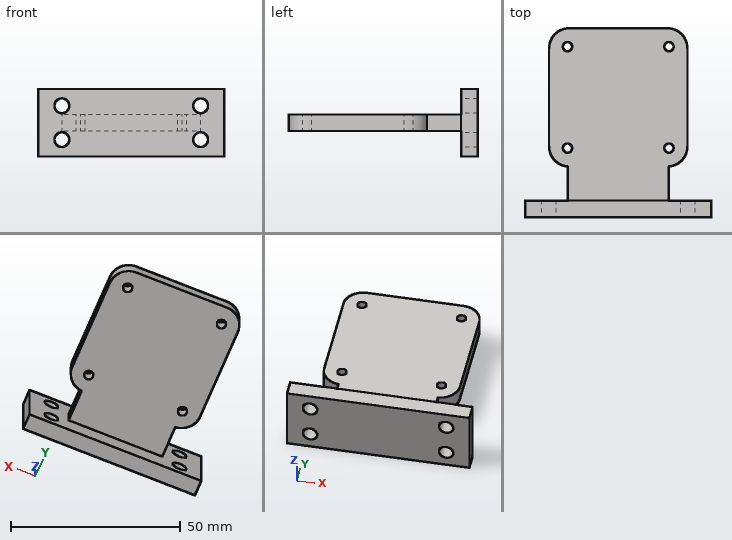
import cadquery as cq

total_depth = 55.95
thickness = 5.0
wall_width = 55.0
wall_height = 20.0
wall_hole_diameter = 4.3
wall_hole_spacing_x = 41.0
wall_hole_spacing_z = 10.0
platform_side = 40.95
corner_radius = 6.0
platform_hole_diameter = 2.7
platform_hole_spacing = 30.0
neck_width = platform_hole_spacing

platform_center_y = total_depth - platform_side / 2


def make_wall():
    """Upright mounting wall with four through holes."""
    wall = cq.Workplane("XY").box(wall_width, thickness, wall_height, centered=(True, False, True))
    return (
        wall.faces("<Y").workplane(centerOption="CenterOfBoundBox")
        .rarray(wall_hole_spacing_x, wall_hole_spacing_z, 2, 2)
        .hole(wall_hole_diameter)
    )


def make_platform():
    """Square platform with rounded corners and a hole near each corner."""
    platform = cq.Workplane("XY").box(platform_side, platform_side, thickness)
    platform = platform.edges("|Z").fillet(corner_radius)
    platform = (
        platform.faces(">Z").workplane()
        .rarray(platform_hole_spacing, platform_hole_spacing, 2, 2)
        .hole(platform_hole_diameter)
    )
    return platform.translate((0, platform_center_y, 0))


def make_neck():
    """Bridge from the wall to the platform, ending just short of the nearest holes."""
    hole_line_y = platform_center_y - platform_hole_spacing / 2
    neck_end_y = hole_line_y - platform_hole_diameter
    neck_length = neck_end_y - thickness
    neck = cq.Workplane("XY").box(neck_width, neck_length, thickness, centered=(True, False, True))
    return neck.translate((0, thickness, 0))


result = make_wall().union(make_neck()).union(make_platform())